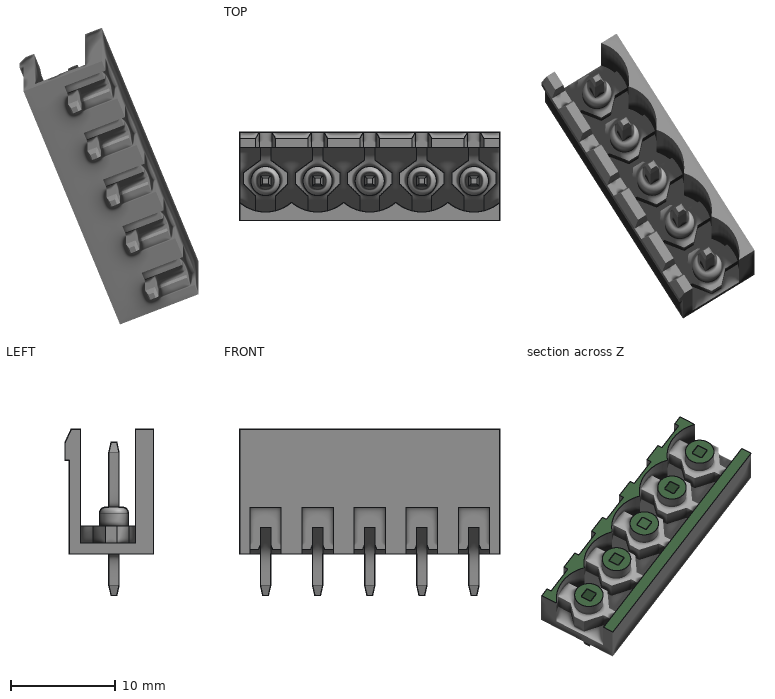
import cadquery as cq


PIN_COUNT = 5
PITCH = 5.0
LENGTH = PIN_COUNT * PITCH
PIN_XS = [(i - (PIN_COUNT - 1) / 2) * PITCH for i in range(PIN_COUNT)]
PIN_Y = 3.8

HEIGHT = 12.0
FLOOR_TOP = 1.05
FRONT_WALL_INNER_Y = 1.75
BACK_WALL_INNER_Y = 7.0
BACK_WALL_OUTER_Y = 8.1
HOOK_Y = 8.5
HOOK_BOTTOM = 9.0
HOOK_SLOPE_BOTTOM = 10.7
HOOK_CREST_Y = 7.9

SCALLOP_BOTTOM_Y = 0.82

NOTCH_TOP_WIDTH = 1.9
NOTCH_BOTTOM_WIDTH = 1.2

PEDESTAL_TOP = 2.7
REAR_NECK_WIDTH = 1.0
REAR_NECK_Y = 5.8
PEDESTAL_WIDTH = 4.25
PEDESTAL_REAR_Y = 4.6
PEDESTAL_FRONT_Y = 3.52
FRONT_NECK_WIDTH = 1.9
FRONT_NECK_Y = 2.35

BOSS_DIAMETER = 2.8
BOSS_TOP = 4.5
BOSS_FILLET = 0.6

RECESS_WIDTH = 3.0
RECESS_HEIGHT = 4.45
RECESS_DEPTH = 0.45
RELIEF_HEIGHT = 0.45

PIN_WIDTH = 1.0
PIN_TIP_WIDTH = 0.55
PIN_TOP = 10.75
PIN_BOTTOM = -4.0
PIN_TAPER = 1.0
PIN_BACK_Y = PIN_Y + PIN_WIDTH / 2
SLOT_TOP = 2.52
SLOT_MOUTH_WIDTH = 1.35
SLOT_FLARE_TOP = 0.88


def box(x_range, y_range, z_range):
    """Box between the given limits."""
    (x0, x1), (y0, y1), (z0, z1) = x_range, y_range, z_range
    return cq.Workplane("XY").box(x1 - x0, y1 - y0, z1 - z0, centered=False).translate((x0, y0, z0))


def centred_box(x, width, y_range, z_range):
    """Box of the given width centred on x."""
    return box((x - width / 2, x + width / 2), y_range, z_range)


def extrude_back(points, x, y_range):
    """Prism along +Y from an X-Z outline placed at x."""
    y0, y1 = y_range
    outline = cq.Workplane("XZ").polyline(points).close()
    return outline.extrude(-(y1 - y0)).translate((x, y0, 0))


def u_profile():
    """U-shaped channel with a latching ridge along the top of the back wall."""
    points = [
        (0, 0),
        (BACK_WALL_OUTER_Y, 0),
        (BACK_WALL_OUTER_Y, HOOK_BOTTOM),
        (HOOK_Y, HOOK_BOTTOM),
        (HOOK_Y, HOOK_SLOPE_BOTTOM),
        (HOOK_CREST_Y, HEIGHT),
        (BACK_WALL_INNER_Y, HEIGHT),
        (BACK_WALL_INNER_Y, FLOOR_TOP),
        (FRONT_WALL_INNER_Y, FLOOR_TOP),
        (FRONT_WALL_INNER_Y, HEIGHT),
        (0, HEIGHT),
    ]
    profile = cq.Workplane("YZ").polyline(points).close()
    return profile.extrude(LENGTH / 2, both=True)


def scallop(x):
    """Arched hollow in the inner side of the front wall, one pitch wide."""
    outline = (
        cq.Workplane("XY", origin=(x, 0, FLOOR_TOP))
        .moveTo(-PITCH / 2, FRONT_WALL_INNER_Y)
        .threePointArc((0, SCALLOP_BOTTOM_Y), (PITCH / 2, FRONT_WALL_INNER_Y))
        .close()
    )
    return outline.extrude(HEIGHT - FLOOR_TOP)


def notch(x):
    """Tapered notch through the top of the back wall."""
    points = [
        (-NOTCH_BOTTOM_WIDTH / 2, HOOK_SLOPE_BOTTOM),
        (NOTCH_BOTTOM_WIDTH / 2, HOOK_SLOPE_BOTTOM),
        (NOTCH_TOP_WIDTH / 2, HEIGHT),
        (-NOTCH_TOP_WIDTH / 2, HEIGHT),
    ]
    return extrude_back(points, x, (BACK_WALL_INNER_Y, HOOK_Y))


def pedestal(x):
    """Raised block around a pin, joined to both walls by necks, with a round boss on top."""
    right_side = [
        (FRONT_NECK_WIDTH / 2, RECESS_DEPTH),
        (FRONT_NECK_WIDTH / 2, FRONT_NECK_Y),
        (PEDESTAL_WIDTH / 2, PEDESTAL_FRONT_Y),
        (PEDESTAL_WIDTH / 2, PEDESTAL_REAR_Y),
        (REAR_NECK_WIDTH / 2, REAR_NECK_Y),
        (REAR_NECK_WIDTH / 2, BACK_WALL_INNER_Y),
    ]
    left_side = [(-px, py) for px, py in reversed(right_side)]
    block = cq.Workplane("XY").polyline(right_side + left_side).close().extrude(PEDESTAL_TOP)
    boss = (
        cq.Workplane("XY")
        .center(0, PIN_Y)
        .circle(BOSS_DIAMETER / 2)
        .extrude(BOSS_TOP)
        .faces(">Z")
        .edges()
        .fillet(BOSS_FILLET)
    )
    return block.union(boss).translate((x, 0, 0))


def front_recess(x):
    """Shallow recess in the front face, open at the bottom."""
    return centred_box(x, RECESS_WIDTH, (0, RECESS_DEPTH), (0, RECESS_HEIGHT))


def underside_relief(x):
    """Low step under the housing from the front face to the back of the pin."""
    return centred_box(x, RECESS_WIDTH, (0, PIN_BACK_Y), (0, RELIEF_HEIGHT))


def pin_slot(x):
    """Slot from the front recess to the back of the pin, flared at its mouth."""
    right_side = [
        (SLOT_MOUTH_WIDTH / 2, RELIEF_HEIGHT),
        (PIN_WIDTH / 2, SLOT_FLARE_TOP),
        (PIN_WIDTH / 2, SLOT_TOP),
    ]
    left_side = [(-px, pz) for px, pz in reversed(right_side)]
    return extrude_back(right_side + left_side, x, (RECESS_DEPTH, PIN_BACK_Y))


def pin_hole(x):
    """Square hole for the pin through the pedestal and boss."""
    return centred_box(x, PIN_WIDTH, (PIN_Y - PIN_WIDTH / 2, PIN_BACK_Y), (0, BOSS_TOP))


def make_housing():
    """Housing with its pedestals, recesses and pin openings."""
    housing = u_profile()
    for x in PIN_XS:
        housing = housing.cut(scallop(x)).cut(notch(x))
        housing = housing.union(pedestal(x))
        housing = housing.cut(front_recess(x)).cut(underside_relief(x))
        housing = housing.cut(pin_slot(x)).cut(pin_hole(x))
    return housing.solids()


def pin_tip(x, base_z, direction):
    """Tapered pin end starting at base_z; direction is 1 for up and -1 for down."""
    plane = cq.Plane(origin=(x, PIN_Y, base_z), xDir=(1, 0, 0), normal=(0, 0, direction))
    return (
        cq.Workplane(plane)
        .rect(PIN_WIDTH, PIN_WIDTH)
        .workplane(offset=PIN_TAPER)
        .rect(PIN_TIP_WIDTH, PIN_TIP_WIDTH)
        .loft()
    )


def make_pin(x):
    """Square pin tapered at both ends."""
    shank_bottom = PIN_BOTTOM + PIN_TAPER
    shank_top = PIN_TOP - PIN_TAPER
    shank = centred_box(x, PIN_WIDTH, (PIN_Y - PIN_WIDTH / 2, PIN_BACK_Y), (shank_bottom, shank_top))
    return shank.union(pin_tip(x, shank_top, 1)).union(pin_tip(x, shank_bottom, -1))


housing = make_housing()
pins = [make_pin(x) for x in PIN_XS]

result = cq.Compound.makeCompound([housing.val(), *[pin.val() for pin in pins]])